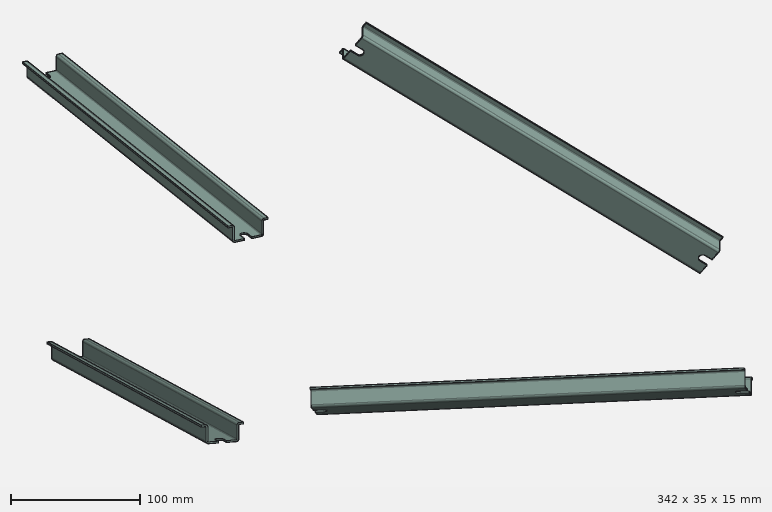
import cadquery as cq

length = 342.0
rail_width = 35.0
height = 15.0
sheet = 1.5
channel_width = 27.0
inner_radius = 0.5
outer_radius = inner_radius + sheet

slot_width = 6.5
slot_depth = 10.0


def box_section(width, bottom, top):
    """Full-length bar, centred in Y, between two heights."""
    return (
        cq.Workplane("XY")
        .workplane(offset=bottom)
        .rect(length, width)
        .extrude(top - bottom)
    )


def make_rail():
    """Bent sheet: floor, two walls and two outward flanges."""
    trough_width = channel_width - 2 * sheet
    flange_bottom = height - sheet
    channel = box_section(channel_width, 0, height).edges("|X and <Z").fillet(outer_radius)
    flanges = box_section(rail_width, flange_bottom, height)
    trough = box_section(trough_width, sheet, height).edges("|X and <Z").fillet(inner_radius)
    rail = channel.union(flanges).cut(trough)

    half_trough = trough_width / 2
    half_channel = channel_width / 2
    for side in (-1, 1):
        lip = cq.selectors.NearestToPointSelector((0, side * half_trough, height))
        rail = rail.edges(lip).fillet(outer_radius)
        under_flange = cq.selectors.NearestToPointSelector((0, side * half_channel, flange_bottom))
        rail = rail.edges(under_flange).fillet(inner_radius)
    return rail


def end_slot(end):
    """Round-ended cutter that opens through one end of the floor."""
    return (
        cq.Workplane("XY")
        .center(end * length / 2, 0)
        .slot2D(2 * slot_depth, slot_width)
        .extrude(sheet)
    )


result = make_rail()
for end in (-1, 1):
    result = result.cut(end_slot(end))